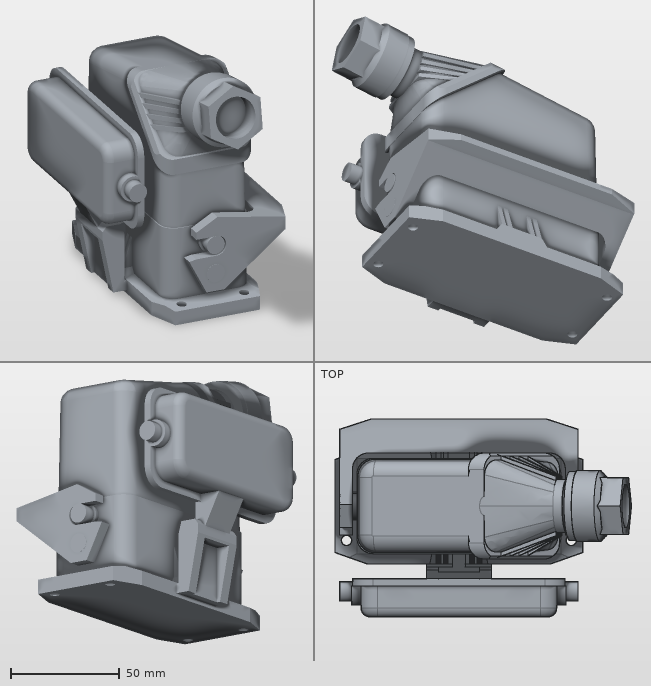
import cadquery as cq
import math

FLANGE_HALF_LENGTH = 57.2
FLANGE_HALF_WIDTH = 26.8
FLANGE_CORNER = (15.0, 5.3)
FLANGE_HEIGHT = 8.2
FLANGE_EDGE_HEIGHT = 6.8
HOLE_RADIUS = 2.3
HOLE_X = 51.9
HOLE_Y = 15.9

HOUSING_HALF_LENGTH = 47.1
HOUSING_HALF_WIDTH = 22.0
HOUSING_TOP = 43.8
CORNER_RADIUS = 7.5

HOOD_HALF_LENGTH = 46.5
HOOD_HALF_WIDTH = 21.5
HOOD_DRAFT = 0.8
HOOD_TOP_RADIUS = 6.8
TILT = 10.0
RIDGE_X = 8.2
RIDGE_Z = 108.9
SLANT_FOOT_X = 46.5
SLANT_FOOT_Z = 74.9

COLLAR_HALF_WIDTH = 24.5
COLLAR_BAND = 3.0
COLLAR_RIM = 2.7
TRANSITION_HALF_WIDTH = 23.1
TRANSITION_INSET = 1.2
TRANSITION_DROP = 0.03

GLAND_X = 77.1
GLAND_Z = 108.9
NUT_RADIUS = 15.2
BORE_RADIUS = 10.0
BORE_DEPTH = 11.0
BODY_RADIUS = 16.5
BODY_CHAMFER = 2.5
BODY_FRONT = 9.6
RING_FRONT = 22.7
RING_BACK = 26.2
RING_RADIUS = 16.0
NECK_FRONT = 27.8
NECK_BACK = 32.0
NECK_RADIUS = 12.3
NECK_GROOVE_RADIUS = 11.5

RIB_COUNT = 4
RIB_PITCH = 4.4
RIB_HEIGHT = 2.2
RIB_TOP_OFFSET = -1.6
RIB_ROOT = 23.8
RIB_TIP = 13.7

LEVER_HALF_LENGTH = 55.0
LEVER_INSIDE = 49.2
LEVER_BACK = 40.3
LEVER_BAR_INSIDE = 24.5
LEVER_CORNER = (14.7, 4.8)
PIN_RADIUS = 4.5
PIN_PROUD = 0.1
UPPER_BOSS_RADIUS = 5.8
LOWER_BOSS_RADIUS = 6.5
UPPER_PIN_Z = 35.7
LOWER_PIN_Z = 21.5
SLOT_RADIUS = 4.9
SLOT_END_Y = 0.4
SLOT_Z = 35.2

COVER_Z = 69.2
COVER_BACK = -33.5
COVER_FRONT = -51.2
COVER_HALF_LENGTH = 45.2
COVER_HEIGHT = 40.8
COVER_FRONT_RADIUS = 4.1
RIM_HALF_LENGTH = 49.0
RIM_HEIGHT = 47.7
RIM_THICKNESS = 3.3
RIM_RADIUS = 9.3
COVER_PIN_Y = -39.5
COVER_COLLAR_END = 49.6
COVER_COLLAR_RADIUS = 6.3

BRACKET_HALF_LENGTH = 15.0
ARM_HALF_LENGTH = 9.5
BRACKET_BACK = -28.1
BRACKET_BOTTOM = 1.8
BRACKET_TOP = 35.7
BRACKET_FRONT = -39.2
BRACKET_SHOULDER_Z = 33.3
RECESS_Y = -32.0
RECESS_TOP = 27.7
WEB_TOP = 30.3
WEB_HALF_LENGTH = 3.0
NOTCH_FRONT = -30.4
GUSSET_POSITIONS = (-9.5, -6.0, 6.0, 9.5)
GUSSET_FOOT_HALF_LENGTH = 13.4
GUSSET_HALF_SPAN = 10.7
GUSSET_THICKNESS = 2.2
GUSSET_TOP = 25.6
GUSSET_FOOT = 11.0

tilt = math.radians(TILT)
axis = cq.Vector(math.cos(tilt), 0, math.sin(tilt))
across = cq.Vector(-math.sin(tilt), 0, math.cos(tilt))
gland_face = cq.Vector(GLAND_X, 0, GLAND_Z)

ridge = cq.Vector(RIDGE_X, 0, RIDGE_Z)
slant_foot = cq.Vector(SLANT_FOOT_X, 0, SLANT_FOOT_Z)
slant_length = (slant_foot - ridge).Length
slant = (slant_foot - ridge).normalized()
slant_normal = cq.Vector(-slant.z, 0, slant.x)


def join(pieces):
    """Union of a list of solids."""
    whole = pieces[0]
    for piece in pieces[1:]:
        whole = whole.union(piece)
    return whole


def mirrored(points):
    """Complete an outline with its mirror image about the vertical axis."""
    return points + [(-side, up) for side, up in reversed(points)]


def prism_x(points, half_length):
    """Extrude a (y, z) outline symmetrically along X."""
    return cq.Workplane("YZ").polyline(points).close().extrude(half_length, both=True)


def cylinder_x(y, z, radius, half_length):
    return cq.Workplane("YZ").center(y, z).circle(radius).extrude(half_length, both=True)


def block(x_range, y_range, z_range):
    sizes = [high - low for low, high in (x_range, y_range, z_range)]
    return cq.Workplane("XY").box(*sizes, centered=False).translate((x_range[0], y_range[0], z_range[0]))


def rounded_plate(half_length, height, back, front, radius):
    """Upright rounded rectangle of the cover, from y = back to y = front."""
    plate = cq.Workplane("XZ", origin=(0, back, COVER_Z)).rect(2 * half_length, height)
    return plate.extrude(back - front).edges("|Y").fillet(radius)


def make_flange():
    """Base plate with cut corners, four holes and a top that falls away from the housing."""
    cut_x, cut_y = FLANGE_CORNER
    x0 = FLANGE_HALF_LENGTH - cut_x
    y0 = FLANGE_HALF_WIDTH - cut_y
    outline = []
    for sx, sy in ((1, 1), (-1, 1), (-1, -1), (1, -1)):
        corner = [(sx * FLANGE_HALF_LENGTH, sy * y0), (sx * x0, sy * FLANGE_HALF_WIDTH)]
        outline += corner if sx == sy else corner[::-1]
    flange = cq.Workplane("XY").polyline(outline).close().extrude(FLANGE_HEIGHT)
    across_slope = [
        (FLANGE_HALF_WIDTH, 0),
        (FLANGE_HALF_WIDTH, FLANGE_EDGE_HEIGHT),
        (HOUSING_HALF_WIDTH, FLANGE_HEIGHT),
    ]
    along_slope = [
        (FLANGE_HALF_LENGTH, 0),
        (FLANGE_HALF_LENGTH, FLANGE_EDGE_HEIGHT),
        (HOUSING_HALF_LENGTH, FLANGE_HEIGHT),
    ]
    flange = flange.intersect(prism_x(mirrored(across_slope), FLANGE_HALF_LENGTH))
    slope = cq.Workplane("XZ").polyline(mirrored(along_slope)).close()
    flange = flange.intersect(slope.extrude(FLANGE_HALF_WIDTH, both=True))
    holes = cq.Workplane("XY").rect(2 * HOLE_X, 2 * HOLE_Y, forConstruction=True).vertices()
    return flange.cut(holes.circle(HOLE_RADIUS).extrude(FLANGE_HEIGHT))


def make_housing():
    housing = cq.Workplane("XY").rect(2 * HOUSING_HALF_LENGTH, 2 * HOUSING_HALF_WIDTH)
    return housing.extrude(HOUSING_TOP).edges("|Z").fillet(CORNER_RADIUS)


def roof_tunnel(half_width, radius):
    """Long prism under the sloping roof, with rounded upper edges."""
    reach = 2 * slant_length
    plane = cq.Plane(origin=ridge - axis * reach - across * (reach / 2), xDir=(0, 1, 0), normal=axis)
    section = cq.Sketch().rect(2 * half_width, reach).vertices().fillet(radius)
    return cq.Workplane(plane).placeSketch(section).extrude(2 * reach)


def make_hood():
    """Drafted shell with a sloping roof and a slanted front end."""
    walls = cq.Workplane("XY", origin=(0, 0, HOUSING_TOP)).rect(2 * HOOD_HALF_LENGTH, 2 * HOOD_HALF_WIDTH)
    walls = walls.extrude(RIDGE_Z - HOUSING_TOP, taper=HOOD_DRAFT)
    walls = walls.edges("not #Z").edges("not (|X or |Y)").fillet(CORNER_RADIUS)
    roof_back_z = RIDGE_Z - (RIDGE_X + HOOD_HALF_LENGTH) * math.tan(tilt)
    outline = [
        (-HOOD_HALF_LENGTH, HOUSING_TOP),
        (-HOOD_HALF_LENGTH, roof_back_z),
        (RIDGE_X, RIDGE_Z),
        (SLANT_FOOT_X, SLANT_FOOT_Z),
        (SLANT_FOOT_X, HOUSING_TOP),
    ]
    side = cq.Workplane("XZ").polyline(outline).close().extrude(HOOD_HALF_WIDTH, both=True)
    hood = walls.intersect(side)
    roof = hood.faces(cq.selectors.DirectionMinMaxSelector(across, True))
    return hood.newObject(roof.edges("not (|Y and >X)").vals()).fillet(HOOD_TOP_RADIUS)


def make_collar():
    """Flared band along the slanted end, wider than the hood."""
    outline = [
        (-COLLAR_BAND, COLLAR_HALF_WIDTH),
        (0, COLLAR_HALF_WIDTH),
        (COLLAR_RIM, COLLAR_HALF_WIDTH - COLLAR_RIM / 2),
    ]
    outline += [(n, -y) for n, y in reversed(outline)]
    start = ridge - slant * slant_length
    plane = cq.Plane(origin=start, xDir=slant_normal, normal=slant)
    band = cq.Workplane(plane).polyline(outline).close().extrude(3 * slant_length)
    walls = cq.Workplane("XY").rect(2 * SLANT_FOOT_X, 2 * COLLAR_HALF_WIDTH).extrude(2 * RIDGE_Z)
    walls = walls.edges("|Z").fillet(CORNER_RADIUS)
    return band.intersect(walls).intersect(roof_tunnel(COLLAR_HALF_WIDTH, CORNER_RADIUS))


def make_transition():
    """Loft from the slanted rectangular end of the hood to the round neck."""
    middle = (ridge + slant_foot) * 0.5 - axis * TRANSITION_INSET - across * TRANSITION_DROP
    plane = cq.Plane(origin=middle, xDir=(0, 1, 0), normal=slant_normal)
    section = cq.Sketch().rect(2 * TRANSITION_HALF_WIDTH, slant_length).vertices().fillet(CORNER_RADIUS)
    end = cq.Workplane(plane).placeSketch(section).extrude(-COLLAR_RIM)
    end = end.faces(cq.selectors.DirectionMinMaxSelector(slant_normal, True)).wires().val()
    neck = cq.Wire.makeCircle(NECK_RADIUS, gland_face - axis * NECK_BACK, axis)
    return cq.Workplane(cq.Solid.makeLoft([end, neck], True))


def make_ribs():
    """Stacked ribs that run from the collar to the neck, along the gland axis."""
    neck_centre = gland_face - axis * NECK_BACK
    ribs = []
    for index in range(RIB_COUNT):
        offset = RIB_TOP_OFFSET + index * RIB_PITCH
        level = neck_centre - across * offset
        run = (level - ridge).dot(slant_normal) / axis.dot(slant_normal)
        outline = [(0, RIB_TIP), (-run, RIB_ROOT), (-run, -RIB_ROOT), (0, -RIB_TIP)]
        plane = cq.Plane(origin=level, xDir=axis, normal=across)
        ribs.append(cq.Workplane(plane).polyline(outline).close().extrude(RIB_HEIGHT))
    return join(ribs)


def gland_cylinder(radius, back, front):
    plane = cq.Plane(origin=gland_face - axis * back, xDir=(0, 1, 0), normal=axis)
    return cq.Workplane(plane).circle(radius).extrude(back - front)


def make_gland():
    """Neck, grooved ring, round body and bored hexagon nut along the tilted axis."""
    gland = gland_cylinder(NECK_RADIUS, NECK_BACK, NECK_FRONT)
    gland = gland.union(gland_cylinder(NECK_GROOVE_RADIUS, NECK_BACK, RING_BACK))
    gland = gland.union(gland_cylinder(RING_RADIUS, RING_BACK, RING_FRONT))
    body = gland_cylinder(BODY_RADIUS, RING_FRONT, BODY_FRONT)
    front_edge = cq.selectors.DirectionMinMaxSelector(axis, True)
    gland = gland.union(body.faces(front_edge).chamfer(BODY_CHAMFER))
    plane = cq.Plane(origin=gland_face - axis * RING_FRONT, xDir=across, normal=axis)
    nut = cq.Workplane(plane).polygon(6, 2 * NUT_RADIUS).extrude(RING_FRONT)
    return gland.union(nut).cut(gland_cylinder(BORE_RADIUS, BORE_DEPTH, 0))


def make_lever():
    """U-shaped lever: two side plates joined by a bar behind the housing."""
    outline = [
        (LEVER_BACK, 42.7),
        (0.8, 49.7),
        (-9.9, 43.7),
        (-9.9, SLOT_Z + SLOT_RADIUS),
        (-9.9, SLOT_Z - SLOT_RADIUS),
        (-13.4, SLOT_Z - SLOT_RADIUS - 0.7),
        (-4.7, 12.6),
        (4.4, 12.6),
        (35.0, 37.0),
        (LEVER_BACK, 39.5),
    ]
    lever = prism_x(outline, LEVER_HALF_LENGTH)
    cut_x, cut_y = LEVER_CORNER
    front = -2 * HOUSING_HALF_WIDTH
    plan = [
        (-LEVER_HALF_LENGTH, front),
        (LEVER_HALF_LENGTH, front),
        (LEVER_HALF_LENGTH, LEVER_BACK - cut_y),
        (LEVER_HALF_LENGTH - cut_x, LEVER_BACK),
        (cut_x - LEVER_HALF_LENGTH, LEVER_BACK),
        (-LEVER_HALF_LENGTH, LEVER_BACK - cut_y),
    ]
    lever = lever.intersect(cq.Workplane("XY").polyline(plan).close().extrude(HOUSING_TOP * 2))
    depth = LEVER_BAR_INSIDE - front
    opening = cq.Workplane("XY").center(0, front + depth / 2).rect(2 * LEVER_INSIDE, depth)
    opening = opening.extrude(HOUSING_TOP * 2).edges("|Z and >Y").fillet(CORNER_RADIUS)
    slot = cylinder_x(SLOT_END_Y, SLOT_Z, SLOT_RADIUS, LEVER_HALF_LENGTH)
    slot = slot.union(block(
        (-LEVER_HALF_LENGTH, LEVER_HALF_LENGTH),
        (front, SLOT_END_Y),
        (SLOT_Z - SLOT_RADIUS, SLOT_Z + SLOT_RADIUS),
    ))
    return lever.cut(opening).cut(slot)


def make_pins():
    """Upper and lower lever pins with the bosses behind the lever plates."""
    pins = []
    for z, boss_radius in ((UPPER_PIN_Z, UPPER_BOSS_RADIUS), (LOWER_PIN_Z, LOWER_BOSS_RADIUS)):
        pins.append(cylinder_x(0, z, PIN_RADIUS, LEVER_HALF_LENGTH + PIN_PROUD))
        pins.append(cylinder_x(0, z, boss_radius, LEVER_INSIDE))
    return join(pins)


def make_cover():
    """Rounded cover with a flat rim and a stepped pin at each end."""
    rim_front = COVER_BACK - RIM_THICKNESS
    cover = rounded_plate(COVER_HALF_LENGTH, COVER_HEIGHT, COVER_BACK, COVER_FRONT, CORNER_RADIUS)
    cover = cover.faces("<Y").edges().fillet(COVER_FRONT_RADIUS)
    cover = cover.union(rounded_plate(RIM_HALF_LENGTH, RIM_HEIGHT, COVER_BACK, rim_front, RIM_RADIUS))
    collars = cylinder_x(COVER_PIN_Y, COVER_Z, COVER_COLLAR_RADIUS, COVER_COLLAR_END)
    in_front_of_rim = block(
        (-LEVER_HALF_LENGTH, LEVER_HALF_LENGTH), (COVER_FRONT, rim_front), (0, RIDGE_Z)
    )
    cover = cover.union(collars.intersect(in_front_of_rim))
    return cover.union(cylinder_x(COVER_PIN_Y, COVER_Z, PIN_RADIUS, LEVER_HALF_LENGTH))


def make_hinge():
    """Bracket in front of the housing, its web, and the arm that carries the cover."""
    outline = [
        (-FLANGE_HALF_WIDTH + 0.5, BRACKET_BOTTOM),
        (-FLANGE_HALF_WIDTH + 0.5, 6.5),
        (BRACKET_BACK, 6.5),
        (BRACKET_BACK, WEB_TOP),
        (BRACKET_BACK - 1.5, BRACKET_TOP),
        (-37.3, BRACKET_TOP),
        (BRACKET_FRONT, BRACKET_SHOULDER_Z),
        (BRACKET_FRONT, RECESS_TOP + 1.4),
        (-33.7, BRACKET_BOTTOM),
    ]
    bracket = prism_x(outline, BRACKET_HALF_LENGTH)
    arm_x = (-ARM_HALF_LENGTH, ARM_HALF_LENGTH)
    bracket = bracket.cut(block(arm_x, (2 * BRACKET_FRONT, RECESS_Y), (0, RECESS_TOP)))
    bracket = bracket.cut(block(arm_x, (NOTCH_FRONT, 0), (WEB_TOP, RIDGE_Z)))
    web = block((-WEB_HALF_LENGTH, WEB_HALF_LENGTH), (BRACKET_BACK - 0.7, 0), (FLANGE_HEIGHT, WEB_TOP))
    arm_foot = COVER_Z - COVER_HEIGHT / 2
    arm = prism_x([
        (COVER_BACK, BRACKET_SHOULDER_Z),
        (COVER_BACK, COVER_Z),
        (-47.1, arm_foot + 0.4),
        (-47.1, arm_foot),
        (BRACKET_FRONT, BRACKET_SHOULDER_Z),
    ], ARM_HALF_LENGTH)
    return bracket.union(web).union(arm)


def make_gussets():
    """Sloping ribs that brace the long housing walls on the flange."""
    outline = [
        (-FLANGE_HALF_WIDTH, 0),
        (-FLANGE_HALF_WIDTH, GUSSET_FOOT),
        (-HOUSING_HALF_WIDTH, GUSSET_TOP),
        (HOUSING_HALF_WIDTH, GUSSET_TOP),
        (FLANGE_HALF_WIDTH, GUSSET_FOOT),
        (FLANGE_HALF_WIDTH, 0),
    ]
    gusset = prism_x(outline, GUSSET_THICKNESS / 2)
    foot = cq.Workplane("XZ").polyline(mirrored([
        (GUSSET_FOOT_HALF_LENGTH, 0),
        (GUSSET_FOOT_HALF_LENGTH, FLANGE_EDGE_HEIGHT),
        (GUSSET_HALF_SPAN, GUSSET_FOOT),
    ])).close().extrude(FLANGE_HALF_WIDTH, both=True)
    return join([foot] + [gusset.translate((x, 0, 0)) for x in GUSSET_POSITIONS])


result = join([
    make_flange(),
    make_housing(),
    make_hood(),
    make_collar(),
    make_transition(),
    make_ribs(),
    make_gland(),
    make_pins(),
    make_lever(),
    make_cover(),
    make_hinge(),
    make_gussets(),
])